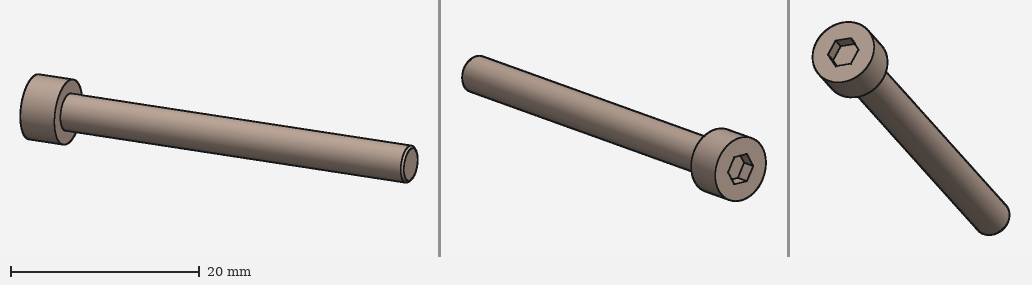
import cadquery as cq
import math

head_diameter = 7.0
head_length = 4.0
shank_diameter = 4.0
shank_length = 40.0
tip_chamfer = 0.25
socket_sides = 6
socket_across_flats = 3.0
socket_depth = 1.5

socket_across_corners = socket_across_flats / math.cos(math.pi / socket_sides)


def head_face():
    """Work plane on the outer face of the head, with its normal along +X."""
    return cq.Workplane("YZ").workplane(offset=-head_length)


def make_head():
    """Plain cylindrical head, from its outer face to the shank."""
    return head_face().circle(head_diameter / 2).extrude(head_length)


def make_shank():
    """Plain shank with a chamfered tip."""
    shank = cq.Workplane("YZ").circle(shank_diameter / 2).extrude(shank_length)
    return shank.faces(">X").chamfer(tip_chamfer)


def make_socket():
    """Hexagonal socket volume, with two opposite corners pointing along Y."""
    return head_face().polygon(socket_sides, socket_across_corners).extrude(socket_depth)


result = make_head().union(make_shank()).cut(make_socket())